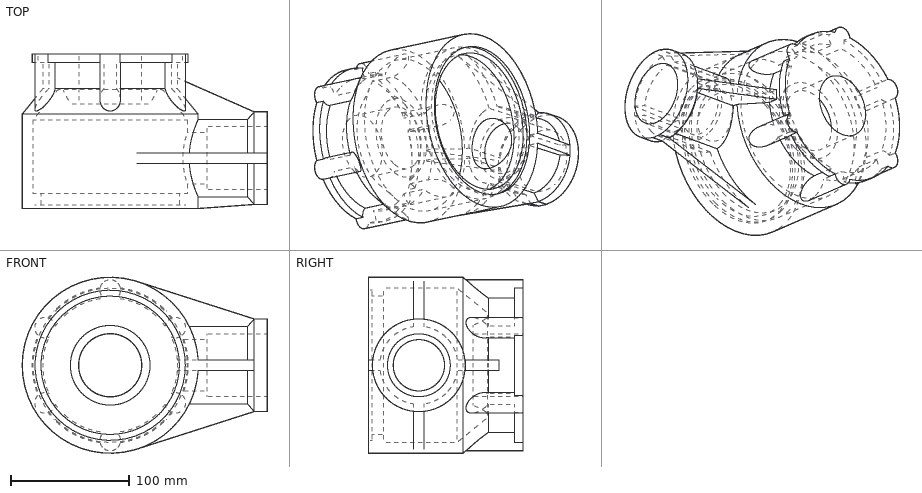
import cadquery as cq
import math


LENGTH = 130.85
BODY_R = 74.465
BODY_LENGTH = 79.9
NECK_R = 57.0
NECK_START = 101.4
REAR_FLANGE_R = 66.0
REAR_FLANGE_THICKNESS = 7.5

BAR_COUNT = 6
BAR_R = 8.7
BAR_CIRCLE_R = 63.6
BAR_FIRST_ANGLE = 30.0

PORT_Y = 42.7
PORT_END = 132.895
PORT_TUBE_R = 33.0
PORT_FLANGE_R = 39.25
PORT_FLANGE_THICKNESS = 11.2
PORT_FLANGE_START = PORT_END - PORT_FLANGE_THICKNESS
PORT_CONE_LENGTH = 5.6
PORT_BORE_R = 21.7
SOCKET_START = 82.0
SOCKET_R = 26.6

FIN_THICKNESS = 8.8
FIN_REAR_Y = 110.5

MOUTH_R = 63.5
MOUTH_DEPTH = 3.0
THROAT_R = 58.5
CHAMBER_R = 65.2
CHAMBER_FRONT = 13.0
CHAMBER_REAR = 75.0
GROOVE_OUTER_R = 45.4
GROOVE_INNER_R = 39.4
LIP_R = 33.7
LIP_LENGTH = 11.0
OUTLET_R = 26.6

CONE_SLOPE = (NECK_START - BODY_LENGTH) / (BODY_R - NECK_R)
GROOVE_Y = CHAMBER_REAR + (CHAMBER_R - GROOVE_OUTER_R) * CONE_SLOPE
GROOVE_HALF_WIDTH = (GROOVE_OUTER_R - GROOVE_INNER_R) / 2
GROOVE_DEPTH = GROOVE_HALF_WIDTH * math.tan(math.atan(CONE_SLOPE) / 2)
LIP_Y = GROOVE_Y - LIP_LENGTH


def revolve_about_y(profile):
    """Turn a closed (radius, y) outline about the Y axis."""
    return profile.close().revolve(360, (0, 0, 0), (0, 1, 0))


def disc_along_x(radius, start, end):
    """Cylinder on the port axis between two X positions."""
    return cq.Workplane("YZ", origin=(start, PORT_Y, 0)).circle(radius).extrude(end - start)


def body():
    flange_start = LENGTH - REAR_FLANGE_THICKNESS
    return revolve_about_y(
        cq.Workplane("XY")
        .moveTo(0, 0)
        .lineTo(BODY_R, 0)
        .lineTo(BODY_R, BODY_LENGTH)
        .lineTo(NECK_R, NECK_START)
        .lineTo(NECK_R, flange_start)
        .lineTo(REAR_FLANGE_R, flange_start)
        .lineTo(REAR_FLANGE_R, LENGTH)
        .lineTo(0, LENGTH)
    )


def neck_bars():
    bars = cq.Workplane("XZ", origin=(0, LENGTH, 0)).polarArray(
        BAR_CIRCLE_R, BAR_FIRST_ANGLE, 360, BAR_COUNT
    )
    return bars.circle(BAR_R).extrude(LENGTH - BODY_LENGTH)


def port():
    cone_start = PORT_FLANGE_START - PORT_CONE_LENGTH
    profile = (
        cq.Workplane("XY")
        .moveTo(0, PORT_Y)
        .lineTo(0, PORT_Y + PORT_TUBE_R)
        .lineTo(cone_start, PORT_Y + PORT_TUBE_R)
        .lineTo(PORT_FLANGE_START, PORT_Y + PORT_FLANGE_R)
        .lineTo(PORT_END, PORT_Y + PORT_FLANGE_R)
        .lineTo(PORT_END, PORT_Y)
        .close()
    )
    return profile.revolve(360, (0, PORT_Y, 0), (1, PORT_Y, 0))


def tangent_fin():
    """Upright fin whose sloping edges are tangent to the body cylinder."""
    corner_distance = math.hypot(PORT_FLANGE_START, PORT_FLANGE_R)
    corner_angle = math.atan2(PORT_FLANGE_R, PORT_FLANGE_START)
    tangent_angle = corner_angle + math.acos(BODY_R / corner_distance)
    tangent_x = BODY_R * math.cos(tangent_angle)
    tangent_z = BODY_R * math.sin(tangent_angle)
    return (
        cq.Workplane("XZ", origin=(0, PORT_Y, 0))
        .moveTo(tangent_x, -tangent_z)
        .lineTo(PORT_FLANGE_START, -PORT_FLANGE_R)
        .lineTo(PORT_END, -PORT_FLANGE_R)
        .lineTo(PORT_END, PORT_FLANGE_R)
        .lineTo(PORT_FLANGE_START, PORT_FLANGE_R)
        .lineTo(tangent_x, tangent_z)
        .close()
        .extrude(FIN_THICKNESS / 2, both=True)
    )


def axial_fin():
    """Flat fin from the mouth edge and the neck out to the port flange."""
    return (
        cq.Workplane("XY")
        .moveTo(NECK_R, 0)
        .lineTo(BODY_R, 0)
        .lineTo(PORT_FLANGE_START, PORT_Y - PORT_FLANGE_R)
        .lineTo(PORT_FLANGE_START, PORT_Y + PORT_FLANGE_R)
        .lineTo(NECK_R, FIN_REAR_Y)
        .close()
        .extrude(FIN_THICKNESS / 2, both=True)
    )


def main_cavity():
    """Stepped mouth, wider chamber, cone, round groove, raised lip and outlet."""
    groove_middle_r = GROOVE_INNER_R + GROOVE_HALF_WIDTH
    return revolve_about_y(
        cq.Workplane("XY")
        .moveTo(0, 0)
        .lineTo(MOUTH_R, 0)
        .lineTo(MOUTH_R, MOUTH_DEPTH)
        .lineTo(THROAT_R, MOUTH_DEPTH)
        .lineTo(THROAT_R, CHAMBER_FRONT)
        .lineTo(CHAMBER_R, CHAMBER_FRONT)
        .lineTo(CHAMBER_R, CHAMBER_REAR)
        .lineTo(GROOVE_OUTER_R, GROOVE_Y)
        .threePointArc((groove_middle_r, GROOVE_Y + GROOVE_DEPTH), (GROOVE_INNER_R, GROOVE_Y))
        .lineTo(LIP_R, LIP_Y)
        .lineTo(OUTLET_R, LIP_Y)
        .lineTo(OUTLET_R, LENGTH)
        .lineTo(0, LENGTH)
    )


def port_bore():
    bore = disc_along_x(PORT_BORE_R, 0, SOCKET_START)
    socket = disc_along_x(SOCKET_R, SOCKET_START, PORT_END)
    return bore.union(socket)


solid = body().union(neck_bars()).union(port()).union(tangent_fin()).union(axial_fin())
result = solid.cut(main_cavity()).cut(port_bore())